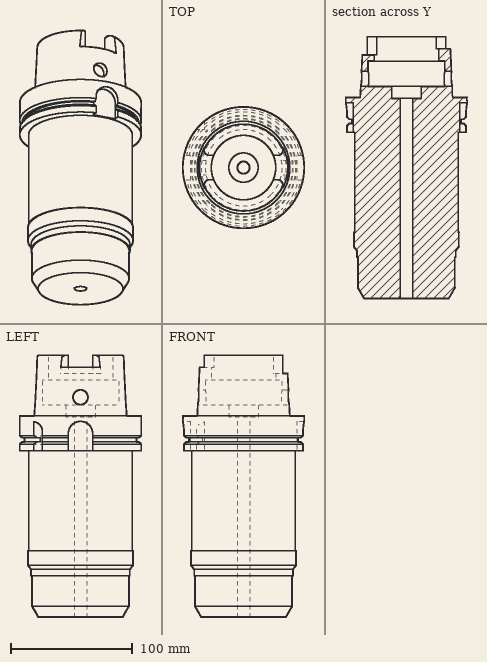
import cadquery as cq
import math

total_height = 215.5
taper_height = 50.0
flange_top = total_height - taper_height
flange_bottom = 136.5
collar_top = 54.5
collar_edge = 42.6
neck_top = 39.2
neck_bottom = 33.8
nose_chamfer_height = 9.0

flange_radius = 50.0
body_radius = 42.6
collar_radius = 43.3
neck_radius = 40.7
nose_radius = 40.0
tip_radius = 35.0
taper_base_radius = 38.1
taper_ratio = 1 / 20
taper_top_radius = taper_base_radius - taper_height * taper_ratio
taper_edge_fillet = 2.0

groove_top = 147.3
groove_bottom = 144.0
groove_radius = 46.0
groove_chamfer = 2.0

bore_radius = 26.5
bore_depth = 20.2
undercut_radius = 31.5
cavity_floor = 174.5
counterbore_radius = 12.0
counterbore_depth = 10.0
coolant_radius = 5.0

drive_slot_width = 20.0
drive_corner_radius = 4.3
finger_reach = 32.3
shallow_slot_depth = 10.0
deep_slot_depth = 15.0

cross_hole_radius = 6.0
cross_hole_height = 180.7

flange_slot_width = 20.0
flange_slot_top = 161.0
flange_slot_floor = 44.0
notch_width = 14.6
notch_top = 160.5
notch_floor = 32.0
notch_center_y = 38.8

cut_reach = 2 * flange_radius


def turned_body():
    outline = [
        (0, 0),
        (tip_radius, 0),
        (nose_radius, nose_chamfer_height),
        (nose_radius, neck_bottom),
        (neck_radius, neck_bottom),
        (neck_radius, neck_top),
        (collar_radius, collar_edge),
        (collar_radius, collar_top),
        (body_radius, collar_top),
        (body_radius, flange_bottom),
        (flange_radius, flange_bottom),
        (flange_radius, groove_bottom - groove_chamfer),
        (flange_radius - groove_chamfer, groove_bottom),
        (groove_radius, groove_bottom),
        (groove_radius, groove_top),
        (flange_radius - groove_chamfer, groove_top),
        (flange_radius, groove_top + groove_chamfer),
        (flange_radius, flange_top),
        (taper_base_radius, flange_top),
        (taper_top_radius, total_height),
        (0, total_height),
    ]
    body = cq.Workplane("XZ").polyline(outline).close().revolve(360, (0, 0), (0, 1))
    return body.faces(">Z").edges().fillet(taper_edge_fillet)


def inner_bore():
    undercut_start = total_height - bore_depth
    counterbore_floor = cavity_floor - counterbore_depth
    outline = [
        (0, 0),
        (coolant_radius, 0),
        (coolant_radius, counterbore_floor),
        (counterbore_radius, counterbore_floor),
        (counterbore_radius, cavity_floor),
        (undercut_radius, cavity_floor),
        (undercut_radius, undercut_start),
        (bore_radius, undercut_start),
        (bore_radius, total_height),
        (0, total_height),
    ]
    return cq.Workplane("XZ").polyline(outline).close().revolve(360, (0, 0), (0, 1))


def drive_slot(side, depth):
    """Slot on the +X (side = 1) or -X (side = -1) side, flared outwards by rounded finger corners."""
    half_width = drive_slot_width / 2
    flare_start = finger_reach - drive_corner_radius
    flare_half_width = half_width + drive_corner_radius
    arc_inset = drive_corner_radius * math.sqrt(0.5)
    arc_x = side * (flare_start + arc_inset)
    arc_y = flare_half_width - arc_inset
    return (
        cq.Workplane("XY", origin=(0, 0, total_height - depth))
        .moveTo(0, -half_width)
        .lineTo(side * flare_start, -half_width)
        .threePointArc((arc_x, -arc_y), (side * finger_reach, -flare_half_width))
        .lineTo(side * finger_reach, -cut_reach)
        .lineTo(side * cut_reach, -cut_reach)
        .lineTo(side * cut_reach, cut_reach)
        .lineTo(side * finger_reach, cut_reach)
        .lineTo(side * finger_reach, flare_half_width)
        .threePointArc((arc_x, arc_y), (side * flare_start, half_width))
        .lineTo(0, half_width)
        .close()
        .extrude(depth)
    )


def round_topped_slot(side, center_y, width, top, floor):
    """Slot milled along X into the flange, open at the flange underside."""
    half_width = width / 2
    return (
        cq.Workplane("YZ", origin=(side * floor, 0, 0))
        .moveTo(center_y - half_width, flange_bottom)
        .lineTo(center_y - half_width, top - half_width)
        .threePointArc((center_y, top), (center_y + half_width, top - half_width))
        .lineTo(center_y + half_width, flange_bottom)
        .close()
        .extrude(side * cut_reach)
    )


result = turned_body().cut(inner_bore())

for side, depth in ((-1, shallow_slot_depth), (1, deep_slot_depth)):
    result = result.cut(drive_slot(side, depth))
    result = result.cut(round_topped_slot(side, 0, flange_slot_width, flange_slot_top, flange_slot_floor))

result = result.cut(round_topped_slot(-1, notch_center_y, notch_width, notch_top, notch_floor))

cross_hole = (
    cq.Workplane("YZ")
    .center(0, cross_hole_height)
    .circle(cross_hole_radius)
    .extrude(cut_reach, both=True)
)
result = result.cut(cross_hole)